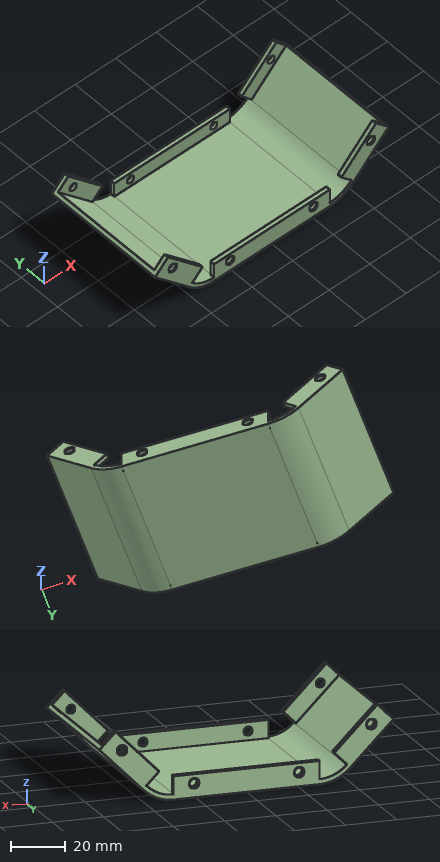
import cadquery as cq
import math

width = 57.0
overall_length = 115.0
overall_height = 28.48
thickness = 2.0
inner_bend_radius = 15.0
outer_bend_radius = 16.7
bend_angle = 45.0

flange_height = 9.0
base_flange_length = 57.0
wing_flange_length = 24.0

hole_diameter = 3.3
countersink_diameter = 4.0
countersink_depth = 0.4
hole_height = 5.5
base_hole_inset = 8.0
wing_hole_inset = 7.0

sin_bend = math.sin(math.radians(bend_angle))
cos_bend = math.cos(math.radians(bend_angle))
tan_half_bend = math.tan(math.radians(bend_angle / 2))
tip_x = overall_length / 2
tip_z = overall_height - flange_height * cos_bend
outer_corner_x = tip_x - tip_z * cos_bend / sin_bend


def bend_point(height, radius, angle):
    """Point (x, z) on a right-hand bend, at an angle in degrees from its start.

    The bend rounds the corner between floor and wing faces lying at the given height in the sheet.
    """
    turn = math.radians(angle)
    start_x = outer_corner_x - (height + radius) * tan_half_bend
    return start_x + radius * math.sin(turn), height + radius * (1 - math.cos(turn))


def wing_point(inset, height):
    """Point (x, z) on the right wing: inset back from the tip, height off its outer face."""
    x = tip_x - inset * cos_bend - height * sin_bend
    z = tip_z - inset * sin_bend + height * cos_bend
    return x, z


def extrude_across(profile, start_y, depth):
    """Extrude an XZ profile towards +Y from start_y."""
    return profile.extrude(-depth).translate((0, start_y, 0))


def mirror_copy(body, plane):
    """Join a body to its mirror image in the named plane."""
    return body.union(body.mirror(plane))


def make_half_sheet():
    """Right half of the bent sheet: half of the floor, one bend and one wing."""
    outer_bend = [bend_point(0, outer_bend_radius, bend_angle * part) for part in (0, 0.5, 1)]
    inner_bend = [bend_point(thickness, inner_bend_radius, bend_angle * part) for part in (1, 0.5, 0)]
    profile = (
        cq.Workplane("XZ")
        .lineTo(*outer_bend[0])
        .threePointArc(*outer_bend[1:])
        .lineTo(*wing_point(0, 0))
        .lineTo(*wing_point(0, thickness))
        .lineTo(*inner_bend[0])
        .threePointArc(*inner_bend[1:])
        .lineTo(0, thickness)
        .close()
    )
    return extrude_across(profile, -width / 2, width)


def make_half_base_flange():
    """Right half of the flange on the -Y edge of the floor."""
    profile = cq.Workplane("XZ").rect(base_flange_length / 2, flange_height, centered=False)
    return extrude_across(profile, -width / 2, thickness)


def make_wing_flange():
    """Flange on the -Y edge of the right wing, square to the wing."""
    corners = [
        wing_point(0, 0),
        wing_point(wing_flange_length, 0),
        wing_point(wing_flange_length, flange_height),
        wing_point(0, flange_height),
    ]
    profile = cq.Workplane("XZ").polyline(corners).close()
    return extrude_across(profile, -width / 2, thickness)


def make_hole(centre):
    """Cutter for a hole through the -Y flange, countersunk from outside."""
    x, z = centre
    axis = cq.Vector(0, 1, 0)
    mouth = cq.Vector(x, -width / 2, z)
    bore = cq.Solid.makeCylinder(hole_diameter / 2, thickness, mouth, axis)
    countersink = cq.Solid.makeCone(
        countersink_diameter / 2, hole_diameter / 2, countersink_depth, mouth, axis
    )
    return cq.Workplane(bore).union(cq.Workplane(countersink))


base_hole_centre = (base_flange_length / 2 - base_hole_inset, hole_height)
wing_hole_centre = wing_point(wing_hole_inset, hole_height)

flange_pair = make_half_base_flange().union(make_wing_flange())
for hole_centre in (base_hole_centre, wing_hole_centre):
    flange_pair = flange_pair.cut(make_hole(hole_centre))

right_half = make_half_sheet().union(mirror_copy(flange_pair, "XZ"))
result = mirror_copy(right_half, "YZ").clean()